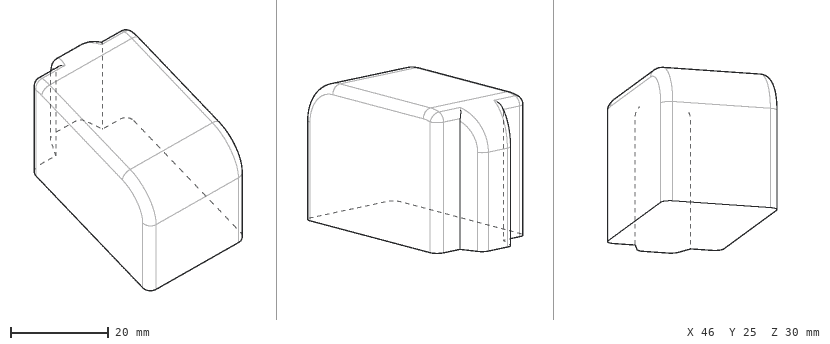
import cadquery as cq

length = 46.0
width = 25.0
height = 30.0
shoulder_radius = 9.0
edge_radius = 2.0

tongue_reach = 5.0
tongue_root_half_width = 6.0
tongue_tip_half_width = 3.95

tongue_tip_x = -length / 2
body_left_x = tongue_tip_x + tongue_reach
body_right_x = length / 2
half_width = width / 2
tolerance = 0.005


def make_plan():
    """Extruded footprint: a rectangle with a tapered tongue."""
    half_outline = [
        (tongue_tip_x, tongue_tip_half_width),
        (body_left_x, tongue_root_half_width),
        (body_left_x, half_width),
        (body_right_x, half_width),
    ]
    mirrored = [(x, -y) for x, y in reversed(half_outline)]
    return cq.Workplane("XY").polyline(half_outline + mirrored).close().extrude(height)


def make_side_profile():
    """Full-length block with large rounded shoulders at both ends."""
    return (
        cq.Workplane("XY")
        .box(length, width, height, centered=(True, True, False))
        .edges(">Z and |Y")
        .fillet(shoulder_radius)
    )


def is_rounded(edge):
    """True for convex edges above the base that are not seams of the shoulders."""
    box = edge.BoundingBox()
    center = edge.Center()
    if box.zmax < tolerance:
        return False
    vertical = box.xlen < tolerance and box.ylen < tolerance
    at_root = abs(center.x - body_left_x) < tolerance and abs(center.y) < half_width - tolerance
    if vertical:
        return not at_root
    across = box.xlen < tolerance and box.zlen < tolerance
    return not across or at_root


blank = make_plan().intersect(make_side_profile())
rounded_edges = [edge for edge in blank.edges().vals() if is_rounded(edge)]
result = blank.newObject(rounded_edges).fillet(edge_radius)